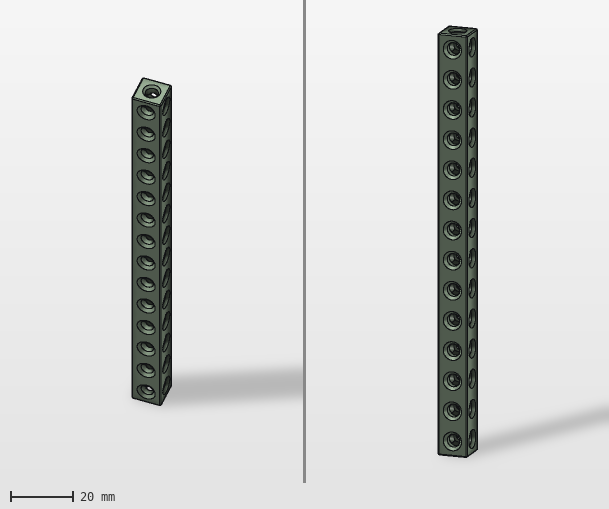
import cadquery as cq

pitch = 10.0
hole_count = 14
beam_length = hole_count * pitch
edge_chamfer = 0.4
hole_diameter = 4.2
side_mouth_diameter = 6.2
end_mouth_diameter = 5.8


def square_beam():
    """Square beam standing on Z = 0, with every outer edge chamfered."""
    beam = cq.Workplane("XY").box(pitch, pitch, beam_length, centered=(True, True, False))
    return beam.edges().chamfer(edge_chamfer)


def countersunk_hole(depth, mouth_diameter):
    """Through-hole cutter along Z from Z = 0 to depth, with a 45 degree countersink at both ends."""
    bore_radius = hole_diameter / 2
    mouth_radius = mouth_diameter / 2
    sink_depth = mouth_radius - bore_radius
    half_profile = [
        (0, 0),
        (mouth_radius, 0),
        (bore_radius, sink_depth),
        (bore_radius, depth - sink_depth),
        (mouth_radius, depth),
        (0, depth),
    ]
    return cq.Workplane("XZ").polyline(half_profile).close().revolve(360, (0, 0, 0), (0, 1, 0))


side_hole = countersunk_hole(pitch, side_mouth_diameter).translate((0, 0, -pitch / 2))
hole_along_x = side_hole.rotate((0, 0, 0), (0, 1, 0), 90)
hole_along_y = side_hole.rotate((0, 0, 0), (1, 0, 0), 90)

result = square_beam().cut(countersunk_hole(beam_length, end_mouth_diameter))
for index in range(hole_count):
    hole_height = pitch / 2 + index * pitch
    result = result.cut(hole_along_x.translate((0, 0, hole_height)))
    result = result.cut(hole_along_y.translate((0, 0, hole_height)))